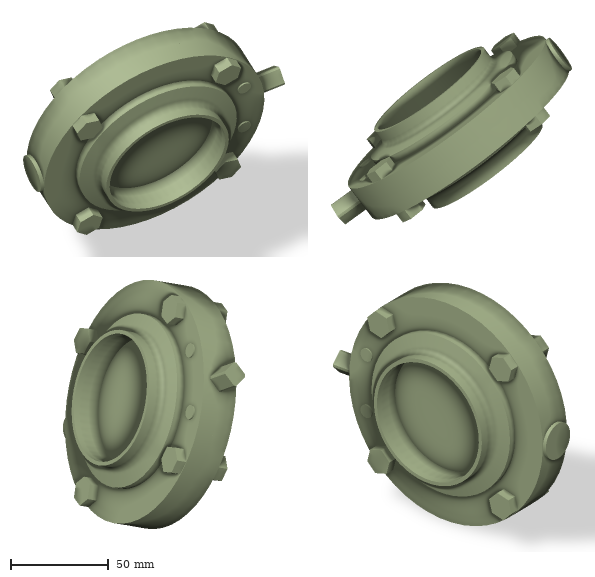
import cadquery as cq
import math

FLANGE_RADIUS = 63.0
FLANGE_HALF_WIDTH = 10.0
LENGTH = 50.0
HALF_LENGTH = LENGTH / 2
NECK_RADIUS = 35.1
BORE_RADIUS = 33.1
HUB_RADIUS = 45.0
CONE_ANGLE = math.radians(15)
FILLET_RADIUS = 3.1
NECK_START_X = 19.4

FILLET_CENTRE_RADIUS = NECK_RADIUS + FILLET_RADIUS
FILLET_MID_ANGLE = (CONE_ANGLE + math.pi / 2) / 2
CONE_END_X = NECK_START_X - FILLET_RADIUS * math.cos(CONE_ANGLE)
CONE_END_RADIUS = FILLET_CENTRE_RADIUS - FILLET_RADIUS * math.sin(CONE_ANGLE)
FILLET_MID_X = NECK_START_X - FILLET_RADIUS * math.cos(FILLET_MID_ANGLE)
FILLET_MID_RADIUS = FILLET_CENTRE_RADIUS - FILLET_RADIUS * math.sin(FILLET_MID_ANGLE)
HUB_RIM_X = CONE_END_X - (HUB_RADIUS - CONE_END_RADIUS) * math.tan(CONE_ANGLE)

BOLT_CIRCLE_RADIUS = 56.0
BOLT_COUNT = 4
HEXAGON_SIDES = 6
FIRST_BOLT_ANGLE = 45
HEXAGON_FLAT_ANGLE = 180 / HEXAGON_SIDES
BOLT_ACROSS_CORNERS = 15.0
BOLT_HEAD_HEIGHT = 5.5

PIN_RADIUS = 3.7
PIN_Y = 51.2
PIN_Z = 16.3
PIN_HEIGHT = 0.8

DISC_HALF_THICKNESS = FLANGE_HALF_WIDTH
SQUARE_ACROSS_FLATS = 9.8
SQUARE_TURN = 45
SQUARE_CORNER_RADIUS = 6.2
SQUARE_END_Y = 76.5
JOURNAL_RADIUS = 7.5
CAP_RADIUS = FLANGE_HALF_WIDTH
CAP_THICKNESS = 2.0


def disc_and_stem():
    """Closing disc with a square drive on +Y and a capped journal on -Y."""
    disc = cq.Workplane("YZ").circle(BORE_RADIUS).extrude(DISC_HALF_THICKNESS, both=True)
    along_y = cq.Workplane("XZ")
    square = (
        along_y
        .rect(SQUARE_ACROSS_FLATS, SQUARE_ACROSS_FLATS)
        .extrude(-SQUARE_END_Y)
        .rotate((0, 0, 0), (0, 1, 0), SQUARE_TURN)
    )
    corner_round = along_y.circle(SQUARE_CORNER_RADIUS).extrude(-SQUARE_END_Y)
    journal = along_y.circle(JOURNAL_RADIUS).extrude(FLANGE_RADIUS)
    cap = along_y.workplane(offset=FLANGE_RADIUS).circle(CAP_RADIUS).extrude(CAP_THICKNESS)
    return disc.union(square.intersect(corner_round)).union(journal).union(cap)


def housing_shell():
    """Flange, conical hub and neck on the +X side, with the bore through them."""
    return (
        cq.Workplane("XZ")
        .moveTo(0, BORE_RADIUS)
        .lineTo(0, FLANGE_RADIUS)
        .lineTo(FLANGE_HALF_WIDTH, FLANGE_RADIUS)
        .lineTo(FLANGE_HALF_WIDTH, HUB_RADIUS)
        .lineTo(HUB_RIM_X, HUB_RADIUS)
        .lineTo(CONE_END_X, CONE_END_RADIUS)
        .threePointArc((FILLET_MID_X, FILLET_MID_RADIUS), (NECK_START_X, NECK_RADIUS))
        .lineTo(HALF_LENGTH, NECK_RADIUS)
        .lineTo(HALF_LENGTH, BORE_RADIUS)
        .close()
        .revolve(360, (0, 0, 0), (1, 0, 0))
    )


def bolt_heads():
    """Four bolt heads on the flange face, each with one flat facing outward."""
    first_head = (
        cq.Workplane("YZ", origin=(FLANGE_HALF_WIDTH, 0, 0))
        .transformed(rotate=(0, 0, FIRST_BOLT_ANGLE))
        .center(BOLT_CIRCLE_RADIUS, 0)
        .transformed(rotate=(0, 0, HEXAGON_FLAT_ANGLE))
        .polygon(HEXAGON_SIDES, BOLT_ACROSS_CORNERS)
        .extrude(BOLT_HEAD_HEIGHT)
    )
    heads = cq.Workplane("YZ")
    for index in range(BOLT_COUNT):
        heads.add(first_head.rotate((0, 0, 0), (1, 0, 0), index * 360 / BOLT_COUNT))
    return heads.combine()


def pin_heads():
    """Two low round heads on the flange face, either side of the drive square."""
    return (
        cq.Workplane("YZ", origin=(FLANGE_HALF_WIDTH, 0, 0))
        .pushPoints([(PIN_Y, -PIN_Z), (PIN_Y, PIN_Z)])
        .circle(PIN_RADIUS)
        .extrude(PIN_HEIGHT)
    )


def housing_half(stem):
    """The +X half of the housing, with a seat matching the disc's stem."""
    return housing_shell().union(bolt_heads()).union(pin_heads()).cut(stem)


disc = disc_and_stem()
right_half = housing_half(disc)
left_half = right_half.mirror("YZ")

result = cq.Compound.makeCompound([right_half.val(), left_half.val(), disc.val()])